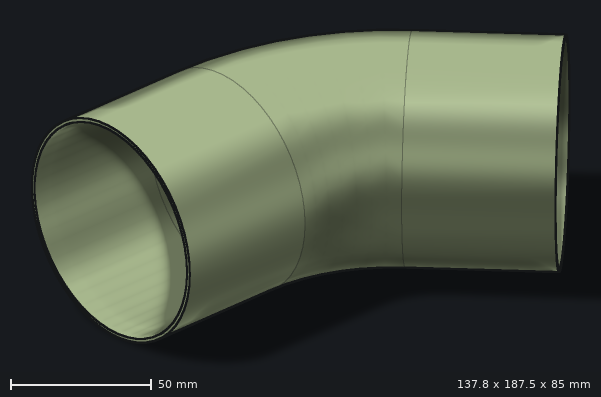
import math

import cadquery as cq

overall_length = 187.5
outer_diameter = 85.0
inner_diameter = 82.0
leg_length = 55.0
bend_angle = 45.0

outer_radius = outer_diameter / 2
inner_radius = inner_diameter / 2
sin_bend = math.sin(math.radians(bend_angle))
cos_bend = math.cos(math.radians(bend_angle))

bend_rise = overall_length - leg_length * (1 + cos_bend) - outer_radius * sin_bend
bend_radius = bend_rise / sin_bend


def tube_section():
    """Annular pipe section at the start of the bend, facing -Y."""
    bend_start = cq.Plane(origin=(0, 0, 0), xDir=(1, 0, 0), normal=(0, -1, 0))
    return cq.Workplane(bend_start).circle(outer_radius).circle(inner_radius)


bend = tube_section().revolve(bend_angle, (bend_radius, 1.9, 0), (bend_radius, -1.9, 0))

first_leg = tube_section().extrude(leg_length)
bend_centre = (bend_radius, 0, 0)
bend_axis_end = (bend_radius, 0, 1)
second_leg = first_leg.mirror("XZ").rotate(bend_centre, bend_axis_end, -bend_angle)

result = bend.union(first_leg).union(second_leg)